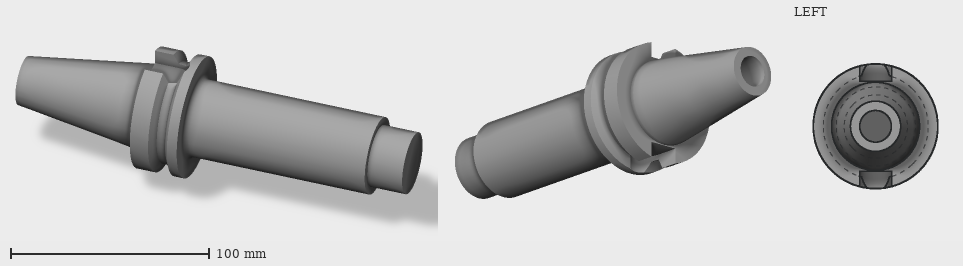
import cadquery as cq
import math


gauge_diameter = 44.45
taper_length = 65.4
taper_ratio = 7 / 24
small_end_diameter = gauge_diameter - taper_length * taper_ratio

flange_diameter = 63.0
flange_back = 2.0
flange_front = 27.0

groove_center = 16.75
groove_diameter = 53.0
groove_mouth_width = 10.0
groove_flank_angle = 30.0
groove_depth = (flange_diameter - groove_diameter) / 2
groove_flank_run = groove_depth * math.tan(math.radians(groove_flank_angle))
groove_floor_width = groove_mouth_width - 2 * groove_flank_run

slot_width = 16.1
slot_floor_height = 22.6
slot_tip = 23.0

overall_length = 207.3
nose_end = overall_length - taper_length
nose_length = 18.6
nose_diameter = 32.0
nose_start = nose_end - nose_length
arbor_diameter = 40.0
arbor_fillet = 2.3

bore_diameter = 16.0
bore_depth = 30.0


def make_turned_body():
    """Revolve the half profile of the holder around the X axis."""
    flange_radius = flange_diameter / 2
    groove_radius = groove_diameter / 2
    gauge_radius = gauge_diameter / 2
    arbor_radius = arbor_diameter / 2
    nose_radius = nose_diameter / 2
    half_mouth = groove_mouth_width / 2
    half_floor = groove_floor_width / 2

    profile = (
        cq.Workplane("XY")
        .moveTo(-taper_length, 0)
        .lineTo(-taper_length, small_end_diameter / 2)
        .lineTo(0, gauge_radius)
        .lineTo(flange_back, gauge_radius)
        .lineTo(flange_back, flange_radius)
        .lineTo(groove_center - half_mouth, flange_radius)
        .lineTo(groove_center - half_floor, groove_radius)
        .lineTo(groove_center + half_floor, groove_radius)
        .lineTo(groove_center + half_mouth, flange_radius)
        .lineTo(flange_front, flange_radius)
        .lineTo(flange_front, arbor_radius + arbor_fillet)
        .radiusArc((flange_front + arbor_fillet, arbor_radius), -arbor_fillet)
        .lineTo(nose_start, arbor_radius)
        .lineTo(nose_start, nose_radius)
        .lineTo(nose_end, nose_radius)
        .lineTo(nose_end, 0)
        .close()
    )
    return profile.revolve(360, (0, 0, 0), (1, 0, 0))


def make_key_slot(side):
    """Round-ended slot cutter, open at the flange back; side is +1 for +Z or -1 for -Z."""
    half_width = slot_width / 2
    round_start = slot_tip - half_width
    return (
        cq.Workplane("XY")
        .workplane(offset=side * slot_floor_height)
        .moveTo(0, -half_width)
        .lineTo(round_start, -half_width)
        .threePointArc((slot_tip, 0), (round_start, half_width))
        .lineTo(0, half_width)
        .close()
        .extrude(side * flange_diameter / 2)
    )


def make_bore():
    """Blind hole entering the small end of the taper."""
    return (
        cq.Workplane("YZ")
        .workplane(offset=-taper_length)
        .circle(bore_diameter / 2)
        .extrude(bore_depth)
    )


result = make_turned_body().cut(make_bore())
for slot_side in (1, -1):
    result = result.cut(make_key_slot(slot_side))